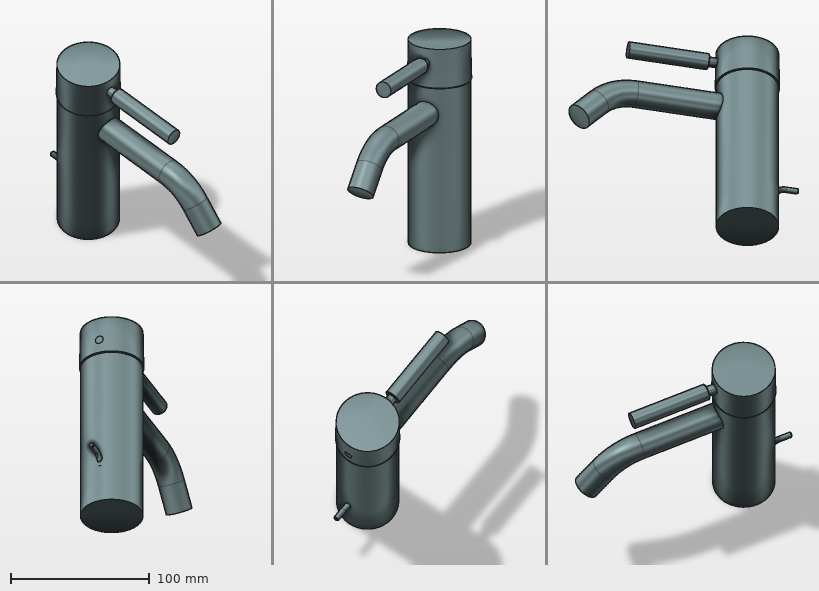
import cadquery as cq
import math

HOUSING_RADIUS = 22.6
HOUSING_HEIGHT = 125.3
NECK_RADIUS = 16.6
NECK_HEIGHT = 0.8

CAP_BOTTOM_RADIUS = 23.3
CAP_TOP_RADIUS = 22.8
CAP_BOTTOM_Z = HOUSING_HEIGHT + NECK_HEIGHT
CAP_RIM_Z = 155.5
CAP_TOP_Z = 156.0

PLUG_RADIUS = 3.0
PLUG_Z = 136.9
PLUG_DEPTH = 3.4

LEVER_Z = 144.4
STEM_RADIUS = 3.5
GRIP_RADIUS = 6.0
GRIP_START_X = 29.2
GRIP_END_X = 88.5
GRIP_CHAMFER = 0.5

SPOUT_RADIUS = 9.7
SPOUT_Z = 105.1
SPOUT_BEND_START_X = 83.0
SPOUT_BEND_RADIUS = 37.0
SPOUT_BEND_ANGLE = 48.0
OUTLET_LENGTH = 21.4

ROD_RADIUS = 2.0
ROD_Z = 38.5
ROD_TIP_X = -37.7
ROD_BEND_START_X = -28.4
ROD_BEND_RADIUS = 8.5
ROD_BEND_ANGLE = 90.0
ROD_TIP_CHAMFER = 0.7

SEAT_X = 18.7


def bent_rod(radius, start_x, bend_start_x, z, bend_radius, bend_angle, end_length=0):
    """Round rod running along +X, bending downward, with an optional straight end."""
    angle = math.radians(bend_angle)

    def bend_point(turn):
        return (bend_start_x + bend_radius * math.sin(turn), z - bend_radius * (1 - math.cos(turn)))

    bend_end_x, bend_end_z = bend_point(angle)
    path = (
        cq.Workplane("XZ")
        .moveTo(start_x, z)
        .lineTo(bend_start_x, z)
        .threePointArc(bend_point(angle / 2), (bend_end_x, bend_end_z))
    )
    if end_length > 0:
        path = path.lineTo(
            bend_end_x + end_length * math.cos(angle),
            bend_end_z - end_length * math.sin(angle),
        )
    return cq.Workplane("YZ", origin=(start_x, 0, z)).circle(radius).sweep(path)


def make_spout():
    return bent_rod(
        SPOUT_RADIUS, SEAT_X, SPOUT_BEND_START_X, SPOUT_Z,
        SPOUT_BEND_RADIUS, SPOUT_BEND_ANGLE, OUTLET_LENGTH,
    )


def make_popup_rod():
    rod = bent_rod(
        ROD_RADIUS, ROD_TIP_X, ROD_BEND_START_X, ROD_Z, ROD_BEND_RADIUS, ROD_BEND_ANGLE
    )
    return rod.faces("<X").chamfer(ROD_TIP_CHAMFER)


def make_lever():
    stem = (
        cq.Workplane("YZ", origin=(SEAT_X, 0, LEVER_Z))
        .circle(STEM_RADIUS)
        .extrude(GRIP_START_X - SEAT_X)
    )
    grip = (
        cq.Workplane("YZ", origin=(GRIP_START_X, 0, LEVER_Z))
        .circle(GRIP_RADIUS)
        .extrude(GRIP_END_X - GRIP_START_X)
        .faces("<X")
        .chamfer(GRIP_CHAMFER)
    )
    return stem.union(grip)


def make_housing(spout, popup_rod):
    """Column and neck, with seats matching the spout and the pop-up rod."""
    column = cq.Workplane("XY").circle(HOUSING_RADIUS).extrude(HOUSING_HEIGHT)
    neck = (
        cq.Workplane("XY", origin=(0, 0, HOUSING_HEIGHT))
        .circle(NECK_RADIUS)
        .extrude(NECK_HEIGHT)
    )
    return column.union(neck).cut(spout).cut(popup_rod)


def make_cap_blank():
    """Revolved cap shape before the plug and lever seats are cut."""
    dome_height = CAP_TOP_Z - CAP_RIM_Z
    dome_radius = (CAP_TOP_RADIUS**2 + dome_height**2) / (2 * dome_height)
    dome_mid_x = CAP_TOP_RADIUS / 2
    dome_mid_z = CAP_TOP_Z - dome_radius + math.sqrt(dome_radius**2 - dome_mid_x**2)
    return (
        cq.Workplane("XZ")
        .moveTo(0, CAP_BOTTOM_Z)
        .lineTo(CAP_BOTTOM_RADIUS, CAP_BOTTOM_Z)
        .lineTo(CAP_TOP_RADIUS, CAP_RIM_Z)
        .threePointArc((dome_mid_x, dome_mid_z), (0, CAP_TOP_Z))
        .close()
        .revolve(360, (0, 0, 0), (0, 1, 0))
    )


def make_plug(cap_blank):
    """Short round plug whose outer face follows the cap surface."""
    plug_inner_x = PLUG_DEPTH - CAP_BOTTOM_RADIUS
    bar = (
        cq.Workplane("YZ", origin=(plug_inner_x, 0, PLUG_Z))
        .circle(PLUG_RADIUS)
        .extrude(-2 * PLUG_DEPTH)
    )
    return bar.intersect(cap_blank)


spout = make_spout()
popup_rod = make_popup_rod()
lever = make_lever()
housing = make_housing(spout, popup_rod)
cap_blank = make_cap_blank()
plug = make_plug(cap_blank)
cap = cap_blank.cut(plug).cut(lever)

bodies = [housing, cap, plug, lever, spout, popup_rod]
result = cq.Compound.makeCompound([body.solids().val() for body in bodies])